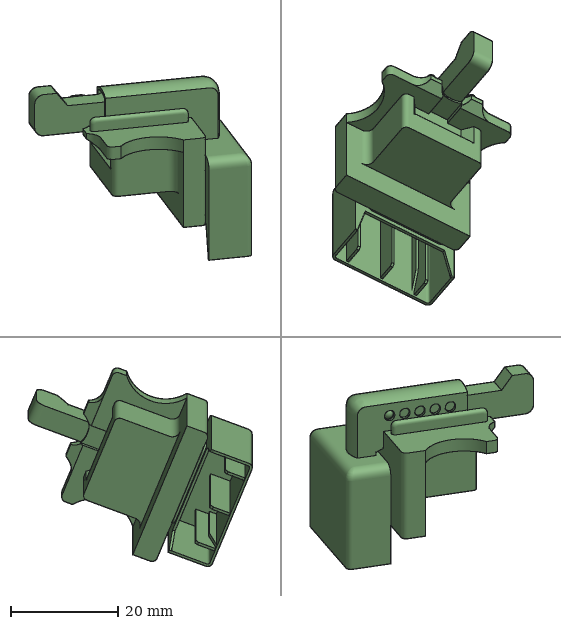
import cadquery as cq
import math


plate_width = 27.5
plate_depth = 4.5
plate_height = 17.5
corner_radius = 1.0
flange_depth = 19.05
flange_thickness = 2.5
grip_front = -16.55
grip_sagitta = 3.0

foot_reach = 2.0
foot_face_height = 1.1
notch_radius = 3.0
notch_half_flat = 0.43
foot_outer_x = 8.6

nose_width = 17.47
nose_front = -16.6
nose_bottom = -12.0
nose_root_fillet = 1.52
pocket_width = 13.35
pocket_bottom = -7.18
pocket_taper = 1.55
pocket_floor_rise = 1.17
pocket_depth = 2.0
under_slot_top = -1.55

bar_width = 1.52
bar_spacing = 8.95
bar_rear = -1.0
bar_front = -19.95
bar_height = 2.5
bar_corner_radius = 1.0

hood_width = 6.0
hood_front = -16.58
hood_rear = 6.0
hood_top = 6.35
hood_crown = 0.8
hood_corner_radius = 2.5
hood_wall = 0.6
hood_foot_height = 0.3
hood_foot_reach = 0.1
hood_leg_front = 1.52
web_bottom_front = -3.4
web_bottom_rear = -4.1

hole_radius = 1.0
hole_pitch = 3.0
hole_count = 5
first_hole_y = -1.2
hole_z = 3.05

cover_width = 21.95
cover_center_x = 2.55
cover_front = 0.5
cover_rear = 9.0
cover_top = -4.68
cover_bottom = -24.65
cover_top_radius = 2.0
cover_wall = 0.5
opening_top = -18.2
opening_top_width = 17.55
opening_bottom_width = 21.0
spacer_width = 16.5
spacer_center_x = 2.73
spacer_top = -7.1
spacer_bottom = -17.2
spacer_radius = 1.05

rib_thickness = 0.5
rib_pitch = 7.53
rib_bottom = -24.0
rib_depth = 3.9
gusset_bottom = -23.0
gusset_knee = -19.05
gusset_reach = 1.2
gusset_knee_radius = 3.9

lever_width = 4.17
lever_tip = -30.0
lever_top = 4.45
lever_bottom = -1.1
lever_rear = 0.0
thumb_top = 7.15
thumb_ramp_foot = -23.65
thumb_ramp_head = -25.75
thumb_radius = 1.75
slider_front = -16.7
slider_full = -13.65

hood_half = hood_width / 2
slider_half = hood_half - hood_wall
arch_outer_radius = (hood_half**2 + hood_crown**2) / (2 * hood_crown)
arch_inner_radius = arch_outer_radius - hood_wall
slider_top = hood_top - arch_outer_radius + math.sqrt(arch_inner_radius**2 - slider_half**2)
hood_leg_bottom = cover_top - cover_wall
cover_height = cover_top - cover_bottom


def box(x_range, y_range, z_range):
    """Box between two limits on each axis."""
    size = [high - low for low, high in (x_range, y_range, z_range)]
    return cq.Workplane().box(*size, centered=False).translate((x_range[0], y_range[0], z_range[0]))


def side_extrusion(points, half_width):
    """Prism of a (y, z) outline, centred on the middle plane."""
    return cq.Workplane("YZ").polyline(points).close().extrude(half_width, both=True)


def make_flange():
    """Plate with finger grips at the sides and two feet at the front."""
    half = plate_width / 2
    foot_front = -flange_depth - foot_reach
    notch_drop = notch_radius - foot_reach
    notch_run = math.sqrt(notch_radius**2 - notch_drop**2)
    foot_outer = foot_outer_x - notch_run
    foot_inner = notch_half_flat + notch_run
    grip_middle = (grip_front - plate_depth) / 2
    flange = (
        cq.Workplane()
        .moveTo(0, 0)
        .lineTo(half, 0)
        .lineTo(half, -plate_depth)
        .threePointArc((half - grip_sagitta, grip_middle), (half, grip_front))
        .lineTo(half, -flange_depth)
        .lineTo(foot_outer_x, -flange_depth)
        .radiusArc((foot_outer, foot_front), -notch_radius)
        .lineTo(foot_inner, foot_front)
        .radiusArc((notch_half_flat, -flange_depth), -notch_radius)
        .lineTo(0, -flange_depth)
        .mirrorY()
        .extrude(-flange_thickness)
    )
    bevel = side_extrusion(
        [
            (foot_front, -foot_face_height),
            (foot_front, -flange_thickness),
            (-flange_depth, -flange_thickness),
        ],
        half,
    )
    front_edge = flange.edges("|Z").edges(cq.selectors.BoxSelector(
        (-plate_width, -flange_depth - corner_radius, -flange_thickness),
        (plate_width, -flange_depth + corner_radius, 0),
    ))
    return front_edge.edges("<X or >X").fillet(corner_radius).cut(bevel)


def make_plate():
    half = plate_width / 2
    return box((-half, half), (-plate_depth, 0), (-plate_height, 0))


def make_nose():
    """Block under the flange, flared where it meets the plate."""
    half = nose_width / 2
    flare = half + nose_root_fillet
    root = -plate_depth
    return (
        cq.Workplane()
        .moveTo(-flare, root)
        .radiusArc((-half, root - nose_root_fillet), nose_root_fillet)
        .lineTo(-half, nose_front + corner_radius)
        .radiusArc((-half + corner_radius, nose_front), -corner_radius)
        .lineTo(half - corner_radius, nose_front)
        .radiusArc((half, nose_front + corner_radius), -corner_radius)
        .lineTo(half, root - nose_root_fillet)
        .radiusArc((flare, root), nose_root_fillet)
        .close()
        .extrude(nose_bottom)
    )


def make_nose_pocket():
    """Tapered pocket in the nose front, with the slot that continues it into the flange."""
    inner_width = pocket_width - 2 * pocket_taper
    mouth_height = -flange_thickness - pocket_bottom
    inner_height = mouth_height - pocket_floor_rise
    pocket = (
        cq.Workplane("XZ", origin=(0, nose_front, -flange_thickness))
        .center(0, -mouth_height / 2)
        .rect(pocket_width, mouth_height)
        .workplane(offset=-pocket_depth)
        .center(0, pocket_floor_rise / 2)
        .rect(inner_width, inner_height)
        .loft(ruled=True)
    )
    half = lever_width / 2
    slot = box(
        (-half, half),
        (-flange_depth - foot_reach, nose_front + pocket_depth),
        (-flange_thickness - inner_height, under_slot_top),
    )
    return pocket.union(slot)


def crowned_section(plane, width, foot, top, crown):
    """Cross-section with straight sides and an arched top edge."""
    half = width / 2
    return (
        plane.moveTo(-half, foot)
        .lineTo(half, foot)
        .lineTo(half, top - crown)
        .threePointArc((0, top), (-half, top - crown))
        .close()
    )


def crowned_elbow(width, crown, bend_radius, top, rear, front, foot, leg_bottom):
    """Bar with a crowned outer surface that runs back level and then bends down into a leg."""
    axis_y = rear - bend_radius
    axis_z = top - bend_radius
    run_plane = cq.Workplane("XZ", origin=(0, axis_y, 0))
    run = crowned_section(run_plane, width, foot, top, crown).extrude(axis_y - front)
    bend_plane = cq.Workplane("XZ", origin=(0, axis_y, axis_z))
    bend = crowned_section(bend_plane, width, 0, bend_radius, crown).revolve(90, (0, 0), (-1, 0))
    leg_plane = cq.Workplane("XY", origin=(0, axis_y, leg_bottom))
    leg = crowned_section(leg_plane, width, 0, bend_radius, crown).extrude(axis_z - leg_bottom)
    return run.union(bend).union(leg)


def make_bar(x):
    """Raised bar with a fully rounded top that bends down to rounded ends."""
    middle = (bar_front + bar_rear) / 2
    rear_half = crowned_elbow(bar_width, bar_width / 2, bar_corner_radius, bar_height, bar_rear, middle, 0, 0)
    front_half = rear_half.mirror("XZ", (0, middle, 0))
    return rear_half.union(front_half).translate((x, 0, 0))


def make_hood():
    """Crowned hood that runs back over the plate and turns down into the cover."""
    elbow = crowned_elbow(
        hood_width, hood_crown, hood_corner_radius, hood_top, hood_rear, hood_front, 0, hood_leg_bottom
    )
    bend_y = hood_rear - hood_corner_radius
    bend_z = hood_top - hood_corner_radius
    web = side_extrusion(
        [
            (0, bend_z),
            (bend_y, bend_z),
            (bend_y, hood_leg_bottom),
            (hood_leg_front, hood_leg_bottom),
            (hood_leg_front, web_bottom_rear),
            (0, web_bottom_front),
        ],
        hood_half,
    )
    foot = side_extrusion(
        [(hood_front, 0), (hood_front, hood_foot_height), (hood_front - hood_foot_reach, 0)], hood_half
    )
    doorway = box(
        (-slider_half, slider_half), (hood_front - hood_foot_reach, hood_front), (0, hood_foot_height)
    )
    return elbow.union(web).union(foot.cut(doorway))


def make_hood_cavity():
    """Arched tunnel of even wall thickness, open at the hood front."""
    ceiling = hood_top - hood_wall
    plane = cq.Workplane("XZ", origin=(0, lever_rear, 0))
    section = crowned_section(plane, 2 * slider_half, 0, ceiling, ceiling - slider_top)
    return section.extrude(lever_rear - hood_front)


def make_detent_holes():
    """Row of round holes through the left wall of the hood."""
    spots = [(first_hole_y - i * hole_pitch, hole_z) for i in range(hole_count)]
    return (
        cq.Workplane("YZ", origin=(-hood_half, 0, 0)).pushPoints(spots).circle(hole_radius).extrude(hood_wall)
    )


def make_lever_channel():
    """Groove in the flange top that the lever keel lies in."""
    half = lever_width / 2
    return box((-half, half), (-flange_depth - foot_reach, lever_rear), (lever_bottom, 0))


def rounded_cover_block():
    """Cover block with rounded top edges and rounded rear corners."""
    depth = cover_rear - cover_front
    middle = (cover_center_x, (cover_front + cover_rear) / 2, (cover_top + cover_bottom) / 2)
    block = cq.Workplane().box(cover_width, depth, cover_height).translate(middle)
    rounded = block.edges(">Z and (not <Y)").fillet(cover_top_radius)
    return rounded.edges("|Z and >Y").fillet(corner_radius)


def make_cover():
    """Hollow cover, open at the bottom, with a flared opening low in its front wall."""
    half_inside = cover_width / 2 - cover_wall
    inside_rear = cover_rear - cover_wall
    cavity = (
        box(
            (cover_center_x - half_inside, cover_center_x + half_inside),
            (cover_front + cover_wall, inside_rear),
            (cover_bottom, cover_top - cover_top_radius),
        )
        .edges("|Z and >Y")
        .fillet(corner_radius - cover_wall)
    )
    opening = (
        cq.Workplane("XZ", origin=(cover_center_x, cover_front, 0))
        .polyline(
            [
                (-opening_top_width / 2, opening_top),
                (opening_top_width / 2, opening_top),
                (opening_bottom_width / 2, cover_bottom),
                (-opening_bottom_width / 2, cover_bottom),
            ]
        )
        .close()
        .extrude(-cover_wall)
    )
    cover = rounded_cover_block().cut(cavity).cut(opening)
    for side in (-1, 0, 1):
        x = cover_center_x + side * rib_pitch
        cover = cover.union(make_rib(x))
        if side:
            cover = cover.union(make_gusset(x - side * rib_thickness))
    return cover


def make_rib(x):
    """Upright rib on the rear wall of the cover, bevelled at its lower front corner."""
    rear = cover_rear - cover_wall
    rib = box(
        (x - rib_thickness / 2, x + rib_thickness / 2),
        (rear - rib_depth, rear),
        (rib_bottom, cover_top - cover_top_radius),
    )
    return rib.edges("|X and <Y and <Z").chamfer(rib_thickness)


def make_gusset(x):
    """Buttress beside an outer rib that slopes into the rear wall at its lower end."""
    rear = cover_rear - cover_wall
    top = cover_top - cover_top_radius
    slope = math.atan2(gusset_reach, gusset_knee - gusset_bottom)
    crest_y = rear - gusset_reach - gusset_knee_radius * (1 - math.cos(slope))
    crest_z = gusset_knee + gusset_knee_radius * math.sin(slope)
    return (
        cq.Workplane("YZ", origin=(x, 0, 0))
        .moveTo(rear, gusset_bottom)
        .lineTo(rear - gusset_reach, gusset_knee)
        .tangentArcPoint((crest_y, crest_z), relative=False)
        .lineTo(crest_y, top)
        .lineTo(rear, top)
        .close()
        .extrude(rib_thickness / 2, both=True)
    )


def make_spacer():
    """Rounded pad between the plate and the cover."""
    height = spacer_top - spacer_bottom
    middle = (spacer_top + spacer_bottom) / 2
    return (
        cq.Workplane("XZ", origin=(spacer_center_x, 0, middle))
        .rect(spacer_width, height)
        .extrude(-cover_front)
        .edges("|Y")
        .fillet(spacer_radius)
    )


def make_housing():
    housing = make_plate().union(make_flange()).edges("|Z and >Y").fillet(corner_radius)
    housing = housing.union(make_nose()).cut(make_nose_pocket())
    for x in (-bar_spacing / 2, bar_spacing / 2):
        housing = housing.union(make_bar(x))
    housing = housing.union(make_hood()).cut(make_hood_cavity())
    housing = housing.cut(make_detent_holes()).cut(make_lever_channel())
    return housing.union(make_spacer()).union(make_cover())


def make_lever():
    """Lever with a thumb piece, a wider slider inside the hood and a detent ball."""
    keel = side_extrusion(
        [
            (lever_rear, lever_bottom),
            (lever_rear, lever_top),
            (thumb_ramp_foot, lever_top),
            (thumb_ramp_head, thumb_top),
            (lever_tip, thumb_top),
            (lever_tip, lever_bottom),
        ],
        lever_width / 2,
    )
    keel = keel.edges("|X and <Y").fillet(thumb_radius)
    slider = box((-slider_half, slider_half), (slider_full, lever_rear), (0, slider_top))
    taper = (
        cq.Workplane("XZ", origin=(0, slider_full, slider_top / 2))
        .rect(2 * slider_half, slider_top)
        .workplane(offset=slider_full - slider_front)
        .center(0, (lever_top - slider_top) / 2)
        .rect(lever_width, lever_top)
        .loft(ruled=True)
    )
    ball = cq.Workplane().sphere(hole_radius).translate((hole_radius - hood_half, first_hole_y, hole_z))
    return keel.union(slider).union(taper).union(ball)


housing = make_housing()
lever = make_lever()
result = cq.Compound.makeCompound([housing.val(), lever.val()])